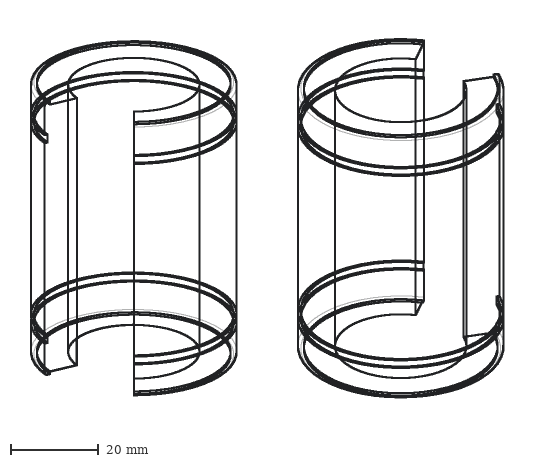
import cadquery as cq
import math

length = 68.0
outer_diameter = 47.0
bore_diameter = 30.0
opening_angle = 60.0

end_fillet = 0.7
groove_offset = 7.95
groove_width = 2.0
groove_depth = 0.7

rim_width = 0.7
recess_depth = 0.6

outer_radius = outer_diameter / 2
recess_radius = outer_radius - end_fillet - rim_width


def disc(radius, height, bottom):
    """Solid disc about Z, starting at the given height."""
    return cq.Workplane("XY").workplane(offset=bottom).circle(radius).extrude(height)


def groove_ring(bottom):
    """Material removed from the outer wall for one retaining-ring groove."""
    floor = disc(outer_radius - groove_depth, groove_width, bottom)
    return disc(outer_diameter, groove_width, bottom).cut(floor)


def opening_wedge():
    """Full-length wedge with radial sides, reaching past the outer wall."""
    reach = outer_diameter
    half_width = reach * math.tan(math.radians(opening_angle / 2))
    corners = [(0, 0), (-half_width, -reach), (half_width, -reach)]
    return cq.Workplane("XY").polyline(corners).close().extrude(length)


sleeve = disc(outer_radius, length, 0)
sleeve = sleeve.faces("<Z or >Z").edges().fillet(end_fillet)
sleeve = sleeve.cut(disc(bore_diameter / 2, length, 0))

for recess_bottom in (0, length - recess_depth):
    sleeve = sleeve.cut(disc(recess_radius, recess_depth, recess_bottom))

for groove_bottom in (groove_offset, length - groove_offset - groove_width):
    sleeve = sleeve.cut(groove_ring(groove_bottom))

result = sleeve.cut(opening_wedge())